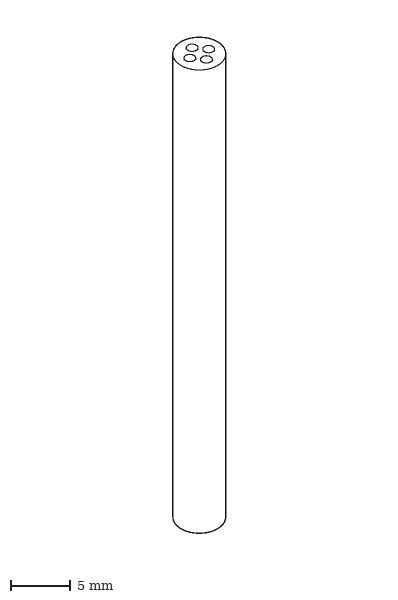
import cadquery as cq

rod_length = 50.0
rod_diameter = 4.5
bore_diameter = 1.0
bore_count = 4
bore_circle_radius = 1.0

rod = cq.Workplane("XY").circle(rod_diameter / 2).extrude(rod_length)

bores = (
    cq.Workplane("XY")
    .polarArray(bore_circle_radius, 0, 360, bore_count)
    .circle(bore_diameter / 2)
    .extrude(rod_length)
)

result = rod.cut(bores)